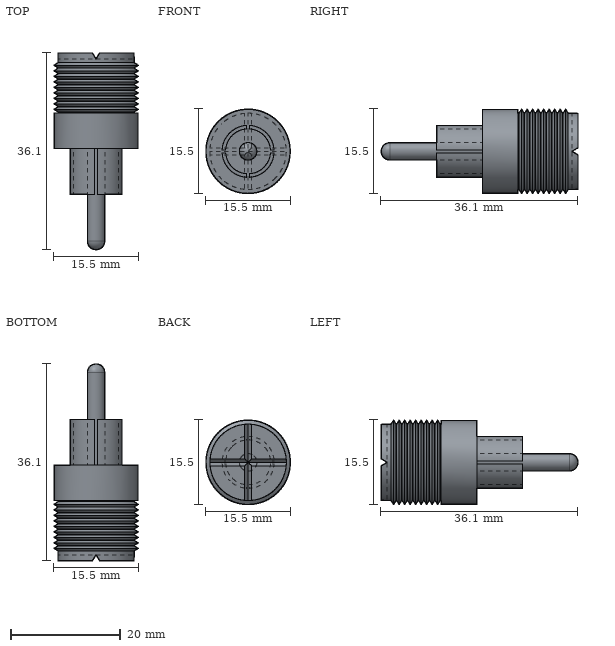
import cadquery as cq


total_length = 36.05

barrel_length = 11.0
root_diameter = 14.0
crest_diameter = 15.5
ridge_count = 9
ridge_pitch = 1.0
ridge_base_width = 0.95
first_crest_distance = 2.27

groove_width = 1.3
groove_depth = 1.08

collar_diameter = 15.35
collar_length = 6.52

sleeve_outer_diameter = 9.5
sleeve_inner_diameter = 8.2
sleeve_length = 8.35
slot_width = 0.55

pin_diameter = 3.2

collar_front = barrel_length + collar_length
sleeve_front = collar_front + sleeve_length


def cylinder(diameter, start, length):
    """Solid cylinder on the axis, starting a given distance from the rear face, toward the tip."""
    return cq.Workplane("XZ", origin=(0, -start, 0)).circle(diameter / 2).extrude(length)


def thread_ridge(crest_distance):
    """Ring with a triangular section, its foot sunk to the axis so it fuses with the barrel."""
    root_radius = root_diameter / 2
    rear = -crest_distance + ridge_base_width / 2
    front = -crest_distance - ridge_base_width / 2
    section = (
        cq.Workplane("XY")
        .moveTo(0, rear)
        .lineTo(root_radius, rear)
        .lineTo(crest_diameter / 2, -crest_distance)
        .lineTo(root_radius, front)
        .lineTo(0, front)
        .close()
    )
    return section.revolve(360, (0, 0, 0), (0, 1, 0))


def rear_groove():
    """V prism running the full height of the barrel along Z."""
    return (
        cq.Workplane("XY")
        .moveTo(-groove_width / 2, 0)
        .lineTo(0, -groove_depth)
        .lineTo(groove_width / 2, 0)
        .close()
        .extrude(crest_diameter / 2, both=True)
    )


def barrel():
    body = cylinder(root_diameter, 0, barrel_length)
    for index in range(ridge_count):
        body = body.union(thread_ridge(first_crest_distance + index * ridge_pitch))
    for angle in (0, 90):
        body = body.cut(rear_groove().rotate((0, 0, 0), (0, 1, 0), angle))
    return body


def sleeve():
    """Tube split into four fingers by two crossing slots."""
    tube = cylinder(sleeve_outer_diameter, collar_front, sleeve_length)
    tube = tube.cut(cylinder(sleeve_inner_diameter, collar_front, sleeve_length))
    slot_centre = (0, -(collar_front + sleeve_front) / 2, 0)
    tube = tube.cut(cq.Workplane(origin=slot_centre).box(slot_width, sleeve_length, sleeve_outer_diameter))
    return tube.cut(cq.Workplane(origin=slot_centre).box(sleeve_outer_diameter, sleeve_length, slot_width))


def pin():
    """Rod with a hemispherical tip, rooted in the collar face."""
    tip_radius = pin_diameter / 2
    tip_centre = total_length - tip_radius
    rod = cylinder(pin_diameter, collar_front, tip_centre - collar_front)
    return rod.union(cq.Workplane(origin=(0, -tip_centre, 0)).sphere(tip_radius))


collar = cylinder(collar_diameter, barrel_length, collar_length)
result = barrel().union(collar).union(sleeve()).union(pin())